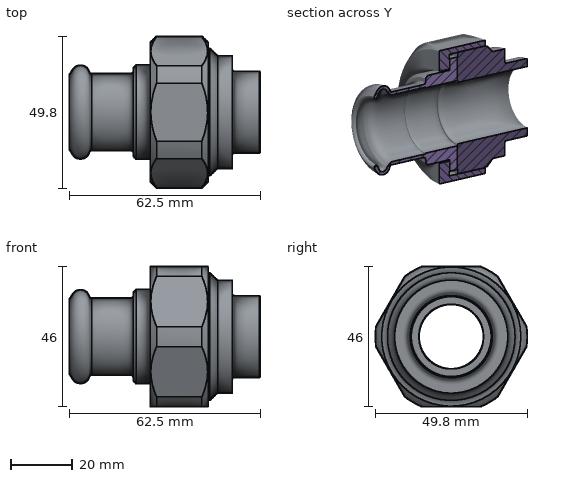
import cadquery as cq
import math

TOTAL_LENGTH = 62.5

TUBE_RADIUS = 25.3 / 2
SOCKET_RADIUS = 22.8 / 2
PRESS_BORE_RADIUS = 22.3 / 2
WALL = TUBE_RADIUS - SOCKET_RADIUS
LIP_FACE_RADIUS = 12.25
LIP_ROUND_LENGTH = 0.9
LIP_END = 1.05
BEAD_CENTER_X = 3.7
BEAD_TOP_RADIUS = 15.4
BEAD_ARC_RADIUS = 3.0
BEAD_START_X = 1.05
BEAD_END_X = 6.5
BEAD_CONE_LENGTH = 0.3
BEAD_CONE_DROP = 0.6
BEAD_BLEND_END = 7.4
GROOVE_START_ANGLE = 175.0
GROOVE_END_ANGLE = 20.0
GROOVE_CONE_END = (6.0, 12.3)
SOCKET_START = 7.9
COLLAR_X = 20.95
COLLAR_RADIUS = 31.0 / 2
COLLAR_CHAMFER = 1.0
COLLAR_FILLET = 0.75
FLANGE_RADIUS = 38.95 / 2
FLANGE_THICKNESS = 3.1

NUT_X = 26.45
NUT_LENGTH = 19.05
NUT_ACROSS_FLATS = 46.0
NUT_CORNER_RADIUS = 49.75 / 2
NUT_CHAMFER = 2.1
NUT_BORE_RADIUS = 31.5 / 2
NUT_BORE_CHAMFER = 0.25
NUT_SHOULDER = 4.4

SCREW_RADIUS = 41.75 / 2
SCREW_END = 46.0
SCREW_CONE_LENGTH = 1.95
BODY_RADIUS = 37.0 / 2
BODY_BLEND_END = 48.5
BODY_END = 53.4
BODY_EDGE_ROUND = 0.2
SPIGOT_RADIUS = 26.9 / 2
SPIGOT_FILLET = 0.5
SPIGOT_CHAMFER = 0.4
SPIGOT_BORE_RADIUS = 21.0 / 2
SPIGOT_BORE_CHAMFER = 0.2

SHOULDER_X = NUT_X + NUT_SHOULDER
JOINT_X = SHOULDER_X + FLANGE_THICKNESS
BEAD_CENTER_RADIUS = BEAD_TOP_RADIUS - BEAD_ARC_RADIUS
GROOVE_ARC_RADIUS = BEAD_ARC_RADIUS - WALL


def revolve_about_x(profile):
    """Close a profile of (x, radius) points and revolve it about the X axis."""
    return profile.close().revolve(360, (0, 0, 0), (1, 0, 0))


def bead_radius_at(x):
    """Outer radius of the rounded bead at station x."""
    offset = x - BEAD_CENTER_X
    return BEAD_CENTER_RADIUS + math.sqrt(BEAD_ARC_RADIUS**2 - offset**2)


def groove_point(angle):
    """Point on the seal groove arc, concentric with the bead."""
    turn = math.radians(angle)
    x = BEAD_CENTER_X + GROOVE_ARC_RADIUS * math.cos(turn)
    radius = BEAD_CENTER_RADIUS + GROOVE_ARC_RADIUS * math.sin(turn)
    return x, radius


def round_corner(profile, corner_x, corner_radius, size, convex):
    """Add a quarter arc from the upright face at corner_x to the cylinder after it."""
    bulge = size * (1 - math.sqrt(0.5))
    if convex:
        middle = (corner_x - bulge, corner_radius - bulge)
        end = (corner_x, corner_radius - size)
    else:
        middle = (corner_x + bulge, corner_radius + bulge)
        end = (corner_x + size, corner_radius)
    return profile.threePointArc(middle, end)


def make_press_tail():
    bead_end_radius = bead_radius_at(BEAD_END_X)
    blend_x = BEAD_END_X + BEAD_CONE_LENGTH
    blend_radius = bead_end_radius - BEAD_CONE_DROP
    fillet_bulge = COLLAR_FILLET * (1 - math.sqrt(0.5))

    profile = (
        cq.Workplane("XY")
        .moveTo(0, LIP_FACE_RADIUS)
        .lineTo(BEAD_START_X, bead_radius_at(BEAD_START_X))
        .threePointArc((BEAD_CENTER_X, BEAD_TOP_RADIUS), (BEAD_END_X, bead_end_radius))
        .lineTo(blend_x, blend_radius)
        .tangentArcPoint((BEAD_BLEND_END, TUBE_RADIUS), relative=False)
        .lineTo(COLLAR_X - COLLAR_FILLET, TUBE_RADIUS)
        .threePointArc(
            (COLLAR_X - fillet_bulge, TUBE_RADIUS + fillet_bulge),
            (COLLAR_X, TUBE_RADIUS + COLLAR_FILLET),
        )
        .lineTo(COLLAR_X, COLLAR_RADIUS - COLLAR_CHAMFER)
        .lineTo(COLLAR_X + COLLAR_CHAMFER, COLLAR_RADIUS)
        .lineTo(SHOULDER_X, COLLAR_RADIUS)
        .lineTo(SHOULDER_X, FLANGE_RADIUS)
        .lineTo(JOINT_X, FLANGE_RADIUS)
    )
    profile = (
        profile.lineTo(JOINT_X, PRESS_BORE_RADIUS)
        .lineTo(COLLAR_X, PRESS_BORE_RADIUS)
        .lineTo(COLLAR_X, SOCKET_RADIUS)
        .lineTo(SOCKET_START, SOCKET_RADIUS)
        .tangentArcPoint(GROOVE_CONE_END, relative=False)
        .lineTo(*groove_point(GROOVE_END_ANGLE))
        .threePointArc(groove_point(90), groove_point(GROOVE_START_ANGLE))
        .lineTo(LIP_END, SOCKET_RADIUS)
        .lineTo(LIP_ROUND_LENGTH, SOCKET_RADIUS)
        .tangentArcPoint((0, LIP_FACE_RADIUS), relative=False)
    )
    return revolve_about_x(profile)


def make_nut():
    nut_end = NUT_X + NUT_LENGTH
    face_radius = NUT_CORNER_RADIUS - NUT_CHAMFER
    across_corners = NUT_ACROSS_FLATS / math.cos(math.radians(30))
    hexagon = (
        cq.Workplane("YZ", origin=(NUT_X, 0, 0))
        .polygon(6, across_corners)
        .extrude(NUT_LENGTH)
    )
    envelope = revolve_about_x(
        cq.Workplane("XY")
        .moveTo(NUT_X, 0)
        .lineTo(NUT_X, face_radius)
        .lineTo(NUT_X + NUT_CHAMFER, NUT_CORNER_RADIUS)
        .lineTo(nut_end - NUT_CHAMFER, NUT_CORNER_RADIUS)
        .lineTo(nut_end, face_radius)
        .lineTo(nut_end, 0)
    )
    bore = revolve_about_x(
        cq.Workplane("XY")
        .moveTo(NUT_X, 0)
        .lineTo(NUT_X, NUT_BORE_RADIUS + NUT_BORE_CHAMFER)
        .lineTo(NUT_X + NUT_BORE_CHAMFER, NUT_BORE_RADIUS)
        .lineTo(SHOULDER_X, NUT_BORE_RADIUS)
        .lineTo(SHOULDER_X, SCREW_RADIUS)
        .lineTo(nut_end, SCREW_RADIUS)
        .lineTo(nut_end, 0)
    )
    return hexagon.intersect(envelope).cut(bore)


def make_spigot_tail():
    cone_end_x = SCREW_END + SCREW_CONE_LENGTH
    cone_end_radius = SCREW_RADIUS - SCREW_CONE_LENGTH
    profile = (
        cq.Workplane("XY")
        .moveTo(JOINT_X + SPIGOT_BORE_CHAMFER, SPIGOT_BORE_RADIUS)
        .lineTo(JOINT_X, SPIGOT_BORE_RADIUS + SPIGOT_BORE_CHAMFER)
        .lineTo(JOINT_X, SCREW_RADIUS)
        .lineTo(SCREW_END, SCREW_RADIUS)
        .lineTo(cone_end_x, cone_end_radius)
        .tangentArcPoint((BODY_BLEND_END, BODY_RADIUS), relative=False)
        .lineTo(BODY_END - BODY_EDGE_ROUND, BODY_RADIUS)
    )
    profile = round_corner(profile, BODY_END, BODY_RADIUS, BODY_EDGE_ROUND, convex=True)
    profile = profile.lineTo(BODY_END, SPIGOT_RADIUS + SPIGOT_FILLET)
    profile = round_corner(profile, BODY_END, SPIGOT_RADIUS, SPIGOT_FILLET, convex=False)
    profile = (
        profile.lineTo(TOTAL_LENGTH - SPIGOT_CHAMFER, SPIGOT_RADIUS)
        .lineTo(TOTAL_LENGTH, SPIGOT_RADIUS - SPIGOT_CHAMFER)
        .lineTo(TOTAL_LENGTH, SPIGOT_BORE_RADIUS)
    )
    return revolve_about_x(profile)


press_tail = make_press_tail()
nut = make_nut()
spigot_tail = make_spigot_tail()

result = cq.Compound.makeCompound([press_tail.val(), nut.val(), spigot_tail.val()])